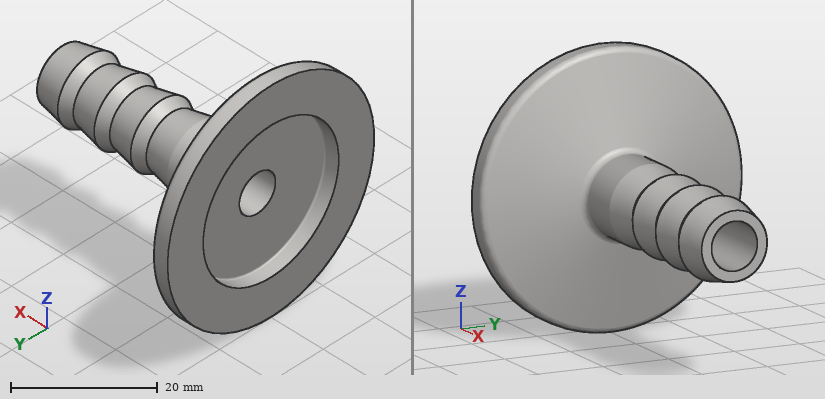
import cadquery as cq
import math

length = 40.0
flange_radius = 20.0
rim_width = 3.0
cone_angle = 15.0
corner_round = 1.0

nozzle_radius = 6.0
barb_root_radius = 5.0
barb_count = 3
barb_start = 14.0
taper_length = 5.0
flare_length = 2.0

bore_diameter = 7.0
recess_radius = 13.1
recess_depth = 2.6
recess_round = 0.3

cone_length = (flange_radius - nozzle_radius) * math.tan(math.radians(cone_angle))
cone_end = rim_width + cone_length


def make_flange():
    """Disc with a conical back, blended into a straight neck."""
    outline = [
        (0, 0),
        (0, flange_radius),
        (rim_width, flange_radius),
        (cone_end, nozzle_radius),
        (barb_start, nozzle_radius),
        (barb_start, 0),
    ]
    body = cq.Workplane("XY").polyline(outline).close().revolve(360, (0, 0), (1, 0))
    corners = cq.selectors.BoxSelector(
        (rim_width - 0.05, -2 * flange_radius, -2 * flange_radius),
        (cone_end + 0.05, 2 * flange_radius, 2 * flange_radius),
        boundingbox=True,
    )
    circles = body.edges("%CIRCLE").edges(corners)
    return circles.fillet(corner_round)


def make_barbs():
    """Tapers narrowing toward the tip, joined by short flares."""
    outline = [(barb_start, 0), (barb_start, nozzle_radius)]
    pitch = taper_length + flare_length
    for index in range(barb_count):
        taper_end = barb_start + index * pitch + taper_length
        outline.append((taper_end, barb_root_radius))
        outline.append((taper_end + flare_length, nozzle_radius))
    outline += [(length, barb_root_radius), (length, 0)]
    return cq.Workplane("XY").polyline(outline).close().revolve(360, (0, 0), (1, 0))


def make_recess():
    """Round pocket in the flange face with a rounded floor edge."""
    pocket = cq.Workplane("YZ").circle(recess_radius).extrude(recess_depth)
    return pocket.faces(">X").edges().fillet(recess_round)


bore = cq.Workplane("YZ").circle(bore_diameter / 2).extrude(length)
result = make_flange().union(make_barbs()).cut(make_recess()).cut(bore)